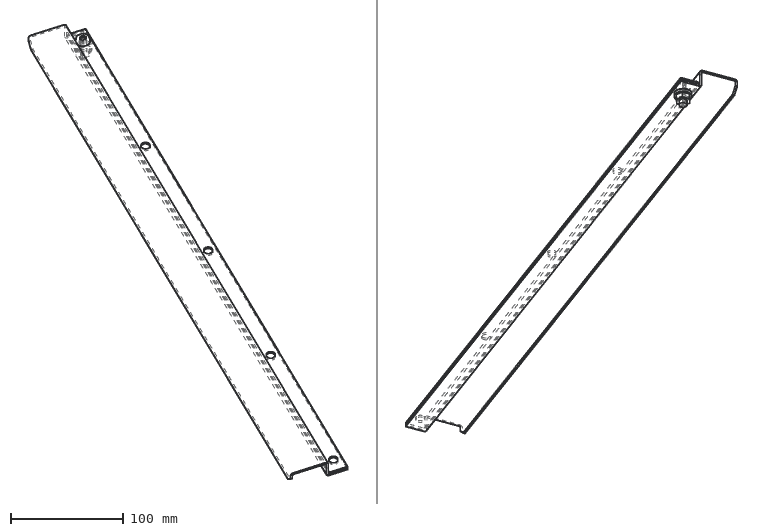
import cadquery as cq
import math

LENGTH = 584.0
DEPTH = 55.5
SHEET = 2.0
OUTER_BEND = 3.0
INNER_BEND = OUTER_BEND - SHEET
LIP_HEIGHT = 13.0
LIP_CHAMFER = 6.0
STEP_HEIGHT = 18.0
WEB_BACK = 37.0

STRIP_THICKNESS = 2.0
HOLE_COUNT = 5
HOLE_DIAMETER = 8.0
FIRST_HOLE_X = 13.0
HOLE_PITCH = (LENGTH - 2 * FIRST_HOLE_X) / (HOLE_COUNT - 1)
HOLE_Y = 47.5

TOTAL_HEIGHT = 33.5
SHANK_DIAMETER = 7.0
HEAD_DIAMETER = 13.0
HEAD_HEIGHT = 4.0
HEAD_ROUNDING = 2.5
SOCKET_FLATS = 5.0
SOCKET_DEPTH = 2.5
NUT_FLATS = 11.5
HEX_TURN = 90
WASHER_DIAMETER = 16.0
WASHER_THICKNESS = 3.0
WASHER_TOP = -21.0
NUT_HEIGHT = 5.0

FLANGE_TOP = SHEET - STEP_HEIGHT
STRIP_TOP = FLANGE_TOP + STRIP_THICKNESS
NUT_TOP = WASHER_TOP - WASHER_THICKNESS


def at_height(z):
    """Horizontal workplane centred on the fastener axis."""
    return cq.Workplane("XY", origin=(FIRST_HOLE_X, HOLE_Y, z))


def make_bracket():
    web_front = WEB_BACK - SHEET
    bends = [
        (0, 0, OUTER_BEND),
        (SHEET, -SHEET, INNER_BEND),
        (WEB_BACK, 0, OUTER_BEND),
        (web_front, -SHEET, INNER_BEND),
        (WEB_BACK, FLANGE_TOP, INNER_BEND),
        (web_front, -STEP_HEIGHT, OUTER_BEND),
    ]
    outline = [
        (0, -LIP_HEIGHT),
        (0, 0),
        (WEB_BACK, 0),
        (WEB_BACK, FLANGE_TOP),
        (DEPTH, FLANGE_TOP),
        (DEPTH, -STEP_HEIGHT),
        (web_front, -STEP_HEIGHT),
        (web_front, -SHEET),
        (SHEET, -SHEET),
        (SHEET, -LIP_HEIGHT),
    ]
    strip = cq.Workplane("YZ").polyline(outline).close().extrude(LENGTH)
    for y, z, radius in bends:
        corner = cq.selectors.NearestToPointSelector((LENGTH / 2, y, z))
        strip = strip.edges("|X").edges(corner).fillet(radius)

    for x in (0, LENGTH):
        corner = cq.selectors.NearestToPointSelector((x, SHEET / 2, -LIP_HEIGHT))
        strip = strip.edges("|Y").edges(corner).chamfer(LIP_CHAMFER)

    screw_hole = at_height(-STEP_HEIGHT).circle(SHANK_DIAMETER / 2).extrude(SHEET)
    return strip.cut(screw_hole)


def make_cover_strip():
    front_edge = WEB_BACK + INNER_BEND
    size = (LENGTH, DEPTH - front_edge, STRIP_THICKNESS)
    strip = cq.Workplane("XY").box(*size, centered=False).translate((0, front_edge, FLANGE_TOP))

    screw_hole = at_height(FLANGE_TOP).circle(SHANK_DIAMETER / 2).extrude(STRIP_THICKNESS)
    centers = [(i * HOLE_PITCH, 0) for i in range(1, HOLE_COUNT)]
    holes = at_height(FLANGE_TOP).pushPoints(centers).circle(HOLE_DIAMETER / 2).extrude(STRIP_THICKNESS)
    return strip.cut(screw_hole).cut(holes)


def make_hexagon(base, flats, height):
    corners = flats / math.cos(math.pi / 6)
    hexagon = at_height(base).polygon(6, corners).extrude(height)
    axis_start = (FIRST_HOLE_X, HOLE_Y, 0)
    axis_end = (FIRST_HOLE_X, HOLE_Y, 1)
    return hexagon.rotate(axis_start, axis_end, HEX_TURN)


def make_screw():
    head = at_height(STRIP_TOP).circle(HEAD_DIAMETER / 2).extrude(HEAD_HEIGHT)
    head = head.faces(">Z").edges().fillet(HEAD_ROUNDING)
    socket_floor = STRIP_TOP + HEAD_HEIGHT - SOCKET_DEPTH
    head = head.cut(make_hexagon(socket_floor, SOCKET_FLATS, SOCKET_DEPTH))
    shank = at_height(-TOTAL_HEIGHT).circle(SHANK_DIAMETER / 2).extrude(STRIP_TOP + TOTAL_HEIGHT)
    return head.union(shank)


def make_washer():
    ring = at_height(NUT_TOP).circle(WASHER_DIAMETER / 2).circle(SHANK_DIAMETER / 2)
    return ring.extrude(WASHER_THICKNESS)


def make_nut():
    base = NUT_TOP - NUT_HEIGHT
    bore = at_height(base).circle(SHANK_DIAMETER / 2).extrude(NUT_HEIGHT)
    return make_hexagon(base, NUT_FLATS, NUT_HEIGHT).cut(bore)


bracket = make_bracket()
cover_strip = make_cover_strip()
screw = make_screw()
washer = make_washer()
nut = make_nut()

result = cq.Compound.makeCompound([
    bracket.val(),
    cover_strip.val(),
    screw.val(),
    washer.val(),
    nut.val(),
])